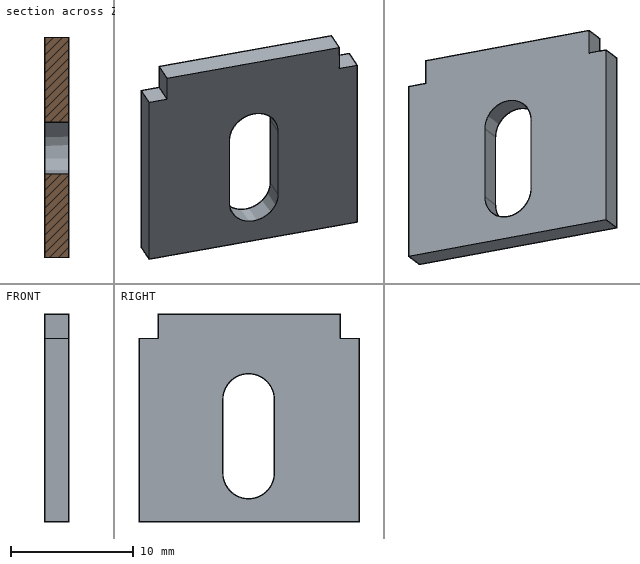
import cadquery as cq

thickness = 2.0
width = 18.0
height = 17.0

notch_width = 1.55
notch_height = 2.0

slot_width = 4.2
slot_length = 10.2
slot_center_y = -0.05
slot_center_z = 7.0


def make_plate():
    """Plate centred on X and Y, standing on Z = 0, with a narrower tongue on top."""
    shoulder_height = height - notch_height
    tongue_width = width - 2 * notch_width
    body = cq.Workplane("XY").box(thickness, width, shoulder_height, centered=(True, True, False))
    tongue = (
        cq.Workplane("XY", origin=(0, 0, shoulder_height))
        .box(thickness, tongue_width, notch_height, centered=(True, True, False))
    )
    return body.union(tongue).clean()


def make_slot_cutter():
    """Round-ended bar along X that passes through the full plate thickness."""
    return (
        cq.Workplane("YZ", origin=(0, slot_center_y, slot_center_z))
        .slot2D(slot_length, slot_width, angle=90)
        .extrude(thickness, both=True)
    )


result = make_plate().cut(make_slot_cutter())